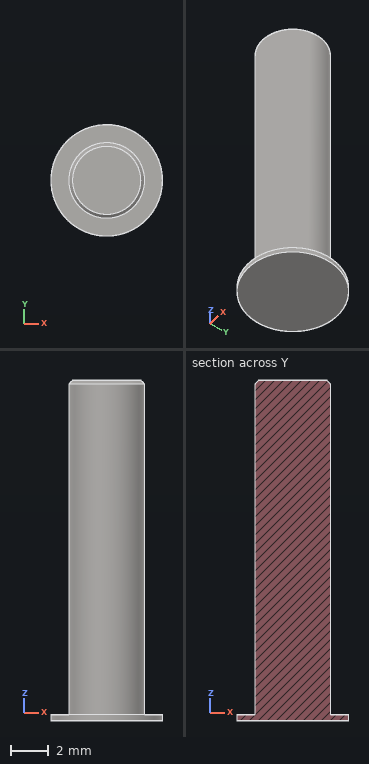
import cadquery as cq

total_height = 18.0
flange_diameter = 5.9
flange_thickness = 0.32
pin_diameter = 4.0
tip_chamfer = 0.2

flange = cq.Workplane("XY").circle(flange_diameter / 2).extrude(flange_thickness)

pin = (
    cq.Workplane("XY")
    .circle(pin_diameter / 2)
    .extrude(total_height)
    .faces(">Z")
    .chamfer(tip_chamfer)
)

result = flange.union(pin)